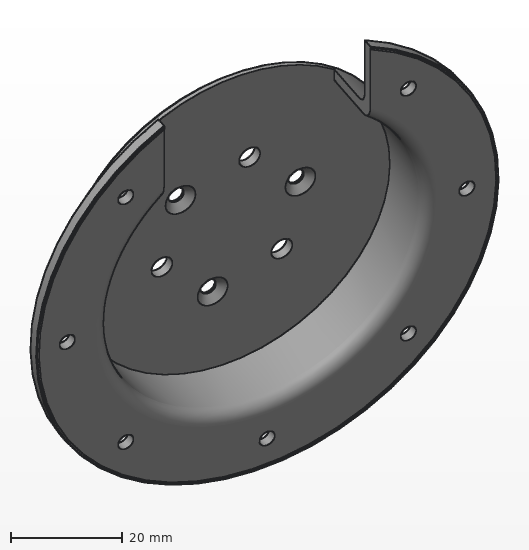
import cadquery as cq
import math

flange_diameter = 96.2
cup_diameter = 70.0
depth = 15.2
sheet = 2.0
flange_thickness = 2.0
rim_height = 0.3
rim_width = 0.4
rim_inset = 0.1

floor_chamfer = 1.1
outer_root_radius = 2.0
mouth_radius = 2.5

notch_width = 42.9

small_hole_diameter = 3.2
large_hole_diameter = 4.3
flange_hole_circle = 83.1
floor_hole_circle = 29.8
countersink_land = 0.5
flange_hole_angles = [45 * step for step in range(1, 8)]
large_hole_angles = [15 + 120 * step for step in range(3)]
small_hole_angles = [75 + 120 * step for step in range(3)]


def disc(diameter, start, length):
    """Cylinder along +X from x = start."""
    return cq.Workplane("YZ", origin=(start, 0, 0)).circle(diameter / 2).extrude(length)


def hole_centres(circle_diameter, angles):
    """Points on a circle; angles run from +Z toward +Y, in degrees."""
    radius = circle_diameter / 2
    return [
        (radius * math.sin(math.radians(angle)), radius * math.cos(math.radians(angle)))
        for angle in angles
    ]


def axial_holes(hole_diameter, circle_diameter, angles):
    """Straight holes along X through the whole part."""
    centres = hole_centres(circle_diameter, angles)
    return cq.Workplane("YZ").pushPoints(centres).circle(hole_diameter / 2).extrude(depth)


def countersinks():
    """Cones that widen the small floor holes toward the inside of the cup."""
    small_radius = small_hole_diameter / 2
    cone_height = sheet - countersink_land
    cone = cq.Solid.makeCone(
        small_radius, small_radius + cone_height, cone_height,
        pnt=cq.Vector(countersink_land, 0, 0), dir=cq.Vector(1, 0, 0),
    )
    centres = hole_centres(floor_hole_circle, small_hole_angles)
    return [cone.translate(cq.Vector(0, y, z)) for y, z in centres]


flange_back = depth - rim_height
flange_front = flange_back - flange_thickness
body = disc(cup_diameter, 0, flange_back).faces("<X").chamfer(floor_chamfer)
body = body.union(disc(flange_diameter, flange_front, flange_thickness))
selection_margin = 0.1
root_zone = cq.selectors.BoxSelector(
    (flange_front - selection_margin, -cup_diameter, -cup_diameter),
    (flange_front + selection_margin, cup_diameter, cup_diameter),
)
smallest_circle = cq.selectors.RadiusNthSelector(0)
body = body.edges(root_zone).edges(smallest_circle).fillet(outer_root_radius)

body = body.cut(disc(cup_diameter - 2 * sheet, sheet, depth))
body = body.faces(">X").edges(smallest_circle).fillet(mouth_radius)

rim_diameter = flange_diameter - 2 * rim_inset
rim = disc(rim_diameter, flange_back, rim_height)
rim = rim.cut(disc(rim_diameter - 2 * rim_width, flange_back, rim_height))
body = body.union(rim)

notch = cq.Workplane("XY").box(
    depth, notch_width, flange_diameter, centered=(False, True, False)
).translate((sheet, 0, 0))
body = body.cut(notch)

body = body.cut(axial_holes(small_hole_diameter, flange_hole_circle, flange_hole_angles))
body = body.cut(axial_holes(large_hole_diameter, floor_hole_circle, large_hole_angles))
body = body.cut(axial_holes(small_hole_diameter, floor_hole_circle, small_hole_angles))
for cone in countersinks():
    body = body.cut(cq.Workplane(cone))

result = body